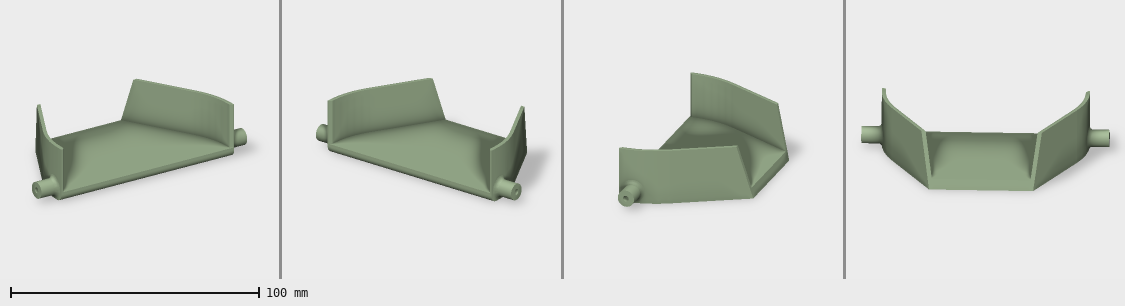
import cadquery as cq
import math

length = 50.0
half_width = 42.0
rear_half_width = 21.0
height = 23.0
floor_thickness = 4.2
rear_lean = 6.0
front_bottom_radius = 3.0

flare_angle = math.radians(28.8)
flared_wall = 1.5
front_wall = 1.7
outer_bend_radius = 37.0
inner_bend_radius = 35.5
wall_end_chamfer = 1.0

pin_diameter = 7.0
pin_hole_diameter = 2.4
pin_length = 8.0
pin_x = 44.0
pin_z = 5.0
pin_root_fillet = 1.5


def flared_prism(rear_y, front_y, bend_radius, end_chamfer, bottom):
    """Symmetric plan outline with bent sides, extruded from bottom to the full height."""
    corner_x = (front_y - rear_y) / math.tan(flare_angle)
    tangent = bend_radius * math.tan(flare_angle / 2)
    bend_start = (corner_x - tangent * math.cos(flare_angle), front_y - tangent * math.sin(flare_angle))
    bend_end = (corner_x + tangent, front_y)
    bend_middle = (
        bend_end[0] - bend_radius * math.sin(flare_angle / 2),
        front_y - bend_radius * (1 - math.cos(flare_angle / 2)),
    )
    outline = (
        cq.Workplane("XY", origin=(0, 0, bottom))
        .moveTo(0, 0)
        .lineTo(0, rear_y)
        .lineTo(*bend_start)
        .threePointArc(bend_middle, bend_end)
        .lineTo(length - end_chamfer, front_y)
    )
    if end_chamfer:
        outline = outline.lineTo(length, front_y + end_chamfer)
    half = outline.lineTo(length, 0).close().extrude(height - bottom)
    return half.union(half.mirror("XZ"))


def side_profile():
    """Side silhouette with the leaning rear end and the rounded front bottom edge."""
    return (
        cq.Workplane("XZ")
        .moveTo(0, 0)
        .lineTo(length - front_bottom_radius, 0)
        .radiusArc((length, front_bottom_radius), -front_bottom_radius)
        .lineTo(length, height)
        .lineTo(rear_lean, height)
        .close()
        .extrude(half_width, both=True)
    )


def pin_cylinder(diameter, inner_y, outer_y):
    """Cylinder on the pivot axis, on the +Y side."""
    return (
        cq.Workplane("XZ", origin=(pin_x, inner_y, pin_z))
        .circle(diameter / 2)
        .extrude(inner_y - outer_y)
    )


pin_end = half_width + pin_length
outer_body = flared_prism(rear_half_width, half_width, outer_bend_radius, 0, 0)

pin = pin_cylinder(pin_diameter, half_width - front_wall / 2, pin_end)
body = outer_body.union(pin).union(pin.mirror("XZ"))

selection_margin = 0.1
root_half_size = pin_diameter / 2 + selection_margin
for side in (-1, 1):
    root_zone = cq.selectors.BoxSelector(
        (pin_x - root_half_size, side * (half_width - front_wall), pin_z - root_half_size),
        (pin_x + root_half_size, side * (half_width + pin_length / 2), pin_z + root_half_size),
        boundingbox=True,
    )
    body = body.edges(root_zone).fillet(pin_root_fillet)

blank = cq.Workplane("XY").box(length, 2 * half_width, height, centered=(False, True, False))
body = body.cut(blank.cut(side_profile()))

inner_rear = rear_half_width - flared_wall / math.cos(flare_angle)
body = body.cut(
    flared_prism(inner_rear, half_width - front_wall, inner_bend_radius, wall_end_chamfer, floor_thickness)
)

hole = pin_cylinder(pin_hole_diameter, half_width, pin_end)
result = body.cut(hole).cut(hole.mirror("XZ"))